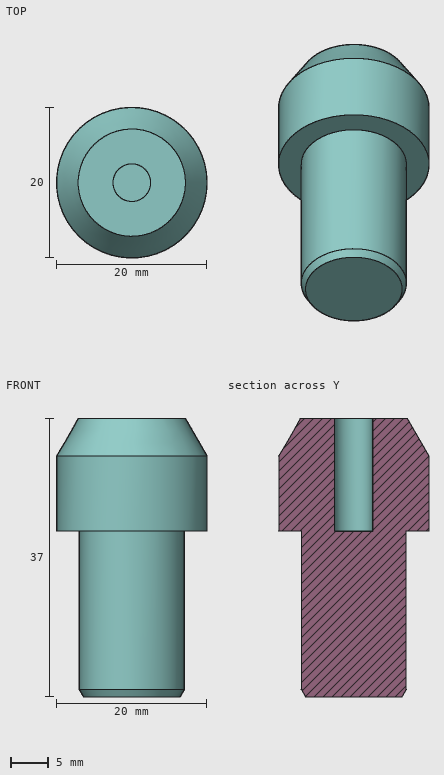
import cadquery as cq
import math

total_height = 37.0
head_diameter = 20.0
head_height = 15.0
head_taper_height = 5.0
shank_diameter = 14.0
tip_chamfer_height = 1.0
taper_angle = 30.0
hole_diameter = 5.0
hole_depth = head_height

head_radius = head_diameter / 2
shank_radius = shank_diameter / 2
taper_slope = math.tan(math.radians(taper_angle))
head_top_radius = head_radius - head_taper_height * taper_slope
tip_radius = shank_radius - tip_chamfer_height * taper_slope
shoulder_z = total_height - head_height
taper_start_z = total_height - head_taper_height


def make_body():
    """Revolve the half profile of the shank and tapered head about Z."""
    return (
        cq.Workplane("XZ")
        .moveTo(0, 0)
        .lineTo(tip_radius, 0)
        .lineTo(shank_radius, tip_chamfer_height)
        .lineTo(shank_radius, shoulder_z)
        .lineTo(head_radius, shoulder_z)
        .lineTo(head_radius, taper_start_z)
        .lineTo(head_top_radius, total_height)
        .lineTo(0, total_height)
        .close()
        .revolve(360, (0, 0, 0), (0, 1, 0))
    )


result = make_body().faces(">Z").workplane().hole(hole_diameter, hole_depth)